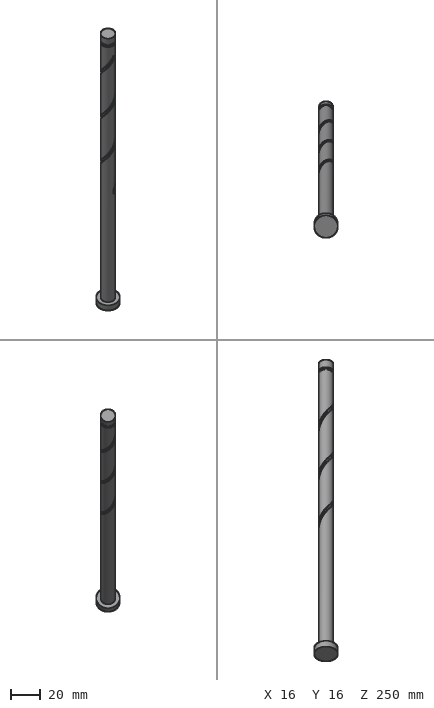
import cadquery as cq

total_length = 250.0
shaft_radius = 5.0
head_radius = 8.0
head_thickness = 5.0

ring_groove_width = 1.5
ring_groove_depth = 0.8
end_collar_length = 6.5

spiral_start = 105.5
spiral_height = 125.0
spiral_turns = 3
spiral_axial_width = 2.8
spiral_depth = 0.5
cutter_overshoot = 0.5


def headed_shaft():
    """Round shaft standing on a flat disc head."""
    head = cq.Workplane("XY").circle(head_radius).extrude(head_thickness)
    shaft = cq.Workplane("XY").circle(shaft_radius).extrude(total_length)
    return head.union(shaft)


def ring_groove_cutter():
    """Annular band removed just below the end collar."""
    groove_bottom = total_length - end_collar_length - ring_groove_width
    return (
        cq.Workplane("XY", origin=(0, 0, groove_bottom))
        .circle(head_radius)
        .circle(shaft_radius - ring_groove_depth)
        .extrude(ring_groove_width)
    )


def spiral_groove_cutter():
    """Rectangular section swept along a helix around the shaft."""
    pitch = spiral_height / spiral_turns
    helix = cq.Wire.makeHelix(pitch, spiral_height, shaft_radius)
    inner_radius = shaft_radius - spiral_depth
    outer_radius = shaft_radius + cutter_overshoot
    section = (
        cq.Workplane("XZ")
        .center((inner_radius + outer_radius) / 2, 0)
        .rect(outer_radius - inner_radius, spiral_axial_width)
    )
    cutter = section.sweep(cq.Workplane(helix), isFrenet=True)
    return cutter.translate((0, 0, spiral_start))


result = headed_shaft().cut(ring_groove_cutter()).cut(spiral_groove_cutter())